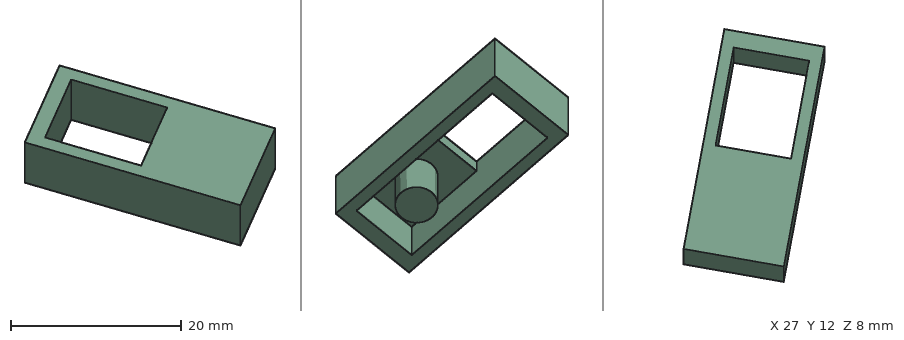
import cadquery as cq

length = 27.0
width = 12.0
height = 8.0

end_wall = 2.0
side_wall = 1.48
roof = 2.0

window_length = 12.02

post_radius = 2.5

cavity_length = length - 2 * end_wall
cavity_width = width - 2 * side_wall
roof_underside = height - roof

post_x = end_wall + (window_length + cavity_length) / 2


def box_from_end(start_x, size_x, size_y, size_z):
    """Box standing on Z = 0, centred on Y, starting at start_x."""
    return (
        cq.Workplane("XY")
        .box(size_x, size_y, size_z, centered=(False, True, False))
        .translate((start_x, 0, 0))
    )


body = box_from_end(0, length, width, height)
cavity = box_from_end(end_wall, cavity_length, cavity_width, roof_underside)
window = box_from_end(end_wall, window_length, cavity_width, height)
shell = body.cut(cavity).cut(window)

post = cq.Workplane("XY").center(post_x, 0).circle(post_radius).extrude(height)

result = shell.union(post)